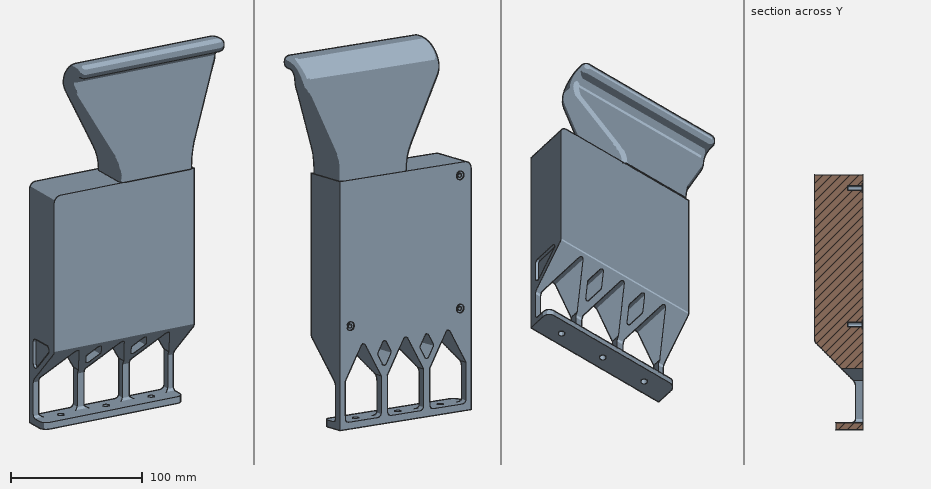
import cadquery as cq
import math


HOUSING_DEPTH = 37.0
HOUSING_WIDTH = 124.0
HOUSING_HEIGHT = 194.0
WALL = 5.8
FOOT_LENGTH = 21.0
FOOT_THICKNESS = 5.5
RAMP_BASE_HEIGHT = 35.8
FOOT_FILLET = 3.0
FOOT_CORNER_RADIUS = 5.8
RAMP_FOOT_FILLET = 7.0
RAMP_TOP_FILLET = 4.0
TOP_CORNER_RADIUS = 5.8

WINDOW_COUNT = 3
WINDOW_MARGIN = 5.0
WINDOW_WIDTH = 34.0
WINDOW_PITCH = (HOUSING_WIDTH - 2 * WINDOW_MARGIN - WINDOW_WIDTH) / (WINDOW_COUNT - 1)
WINDOW_SHOULDER_HEIGHT = 37.5
WINDOW_CORNER_RADIUS = 3.5
WINDOW_PEAK_RADIUS = 2.3
DIAMOND_HALF_WIDTH = 6.7
DIAMOND_HEIGHT = 55.0
DIAMOND_RADIUS = 2.0
ROOF_SLOPE = math.tan(math.radians(60))

SCREW_EDGE = 10.2
SCREW_LOW_HEIGHT = 80.0
SCREW_DIAMETER = 3.2
SCREW_HEAD_DIAMETER = 6.7
SCREW_HEAD_DEPTH = 1.0
SCREW_HOLE_DEPTH = 11.6
FOOT_HOLE_DIAMETER = 5.0
FOOT_HOLE_X = 10.0

POCKET_TOP = 70.0
POCKET_WALL = 4.7
POCKET_CORNER_RADIUS = 3.0
POCKET_DEPTH = 2.0
POCKET_TAPER_INSET = 1.0

HANDLE_CENTRE_Y = 91.0
HANDLE_TOP = 291.2
HANDLE_BASE_WIDTH = 64.5
HANDLE_TOP_WIDTH = 128.5
HANDLE_BASE_DEPTH = 38.0
FLARE_START = 204.7
FLARE_END = 268.8
FLARE_START_RADIUS = 43.7
FLARE_END_RADIUS = 26.2
NECK_DEPTH = 19.0
TAPER_START = 204.5
TAPER_END = 266.7
TAPER_START_RADIUS = 67.0
TAPER_END_RADIUS = 3.0
LIP_REACH = 32.3
LIP_THICKNESS = 10.8
HOOK_OUTER_RADIUS = 25.5
HOOK_INNER_RADIUS = HOOK_OUTER_RADIUS - NECK_DEPTH
HANDLE_FILLET = 5.0


def along_y(points, start, length):
    """Prism over (x, z) points, running from Y = start by length."""
    return cq.Workplane("XZ", origin=(0, start, 0)).polyline(points).close().extrude(-length)


def along_x(points, length):
    """Prism over (y, z) points, running from X = 0 by length."""
    return cq.Workplane("YZ").polyline(points).close().extrude(length)


def edge_at(body, direction, point):
    """The edge parallel to a direction that lies nearest to a point."""
    return body.edges(direction).edges(cq.NearestToPointSelector(point))


def round_edge(body, direction, point, radius):
    return body.newObject(edge_at(body, direction, point).vals()).fillet(radius)



def housing_block():
    ramp_top = RAMP_BASE_HEIGHT + HOUSING_DEPTH - WALL
    middle = HOUSING_WIDTH / 2
    body = along_y(
        [
            (0, 0),
            (FOOT_LENGTH, 0),
            (FOOT_LENGTH, FOOT_THICKNESS),
            (WALL, FOOT_THICKNESS),
            (WALL, RAMP_BASE_HEIGHT),
            (HOUSING_DEPTH, ramp_top),
            (HOUSING_DEPTH, HOUSING_HEIGHT),
            (0, HOUSING_HEIGHT),
        ],
        0,
        HOUSING_WIDTH,
    )
    body = round_edge(body, "|Y", (WALL, middle, FOOT_THICKNESS), FOOT_FILLET)
    body = round_edge(body, "|Y", (WALL, middle, RAMP_BASE_HEIGHT), RAMP_FOOT_FILLET)
    body = round_edge(body, "|Y", (HOUSING_DEPTH, middle, ramp_top), RAMP_TOP_FILLET)
    body = round_edge(body, "|X", (HOUSING_DEPTH / 2, 0, HOUSING_HEIGHT), TOP_CORNER_RADIUS)
    for y in (0, HOUSING_WIDTH):
        body = round_edge(body, "|Z", (FOOT_LENGTH, y, FOOT_THICKNESS / 2), FOOT_CORNER_RADIUS)
    return body


def window_cutter(centre):
    half = WINDOW_WIDTH / 2
    peak = WINDOW_SHOULDER_HEIGHT + half * ROOF_SLOPE
    cutter = along_x(
        [
            (centre - half, FOOT_THICKNESS),
            (centre + half, FOOT_THICKNESS),
            (centre + half, WINDOW_SHOULDER_HEIGHT),
            (centre, peak),
            (centre - half, WINDOW_SHOULDER_HEIGHT),
        ],
        HOUSING_DEPTH,
    )
    cutter = round_edge(cutter, "|X", (0, centre, peak), WINDOW_PEAK_RADIUS)
    return cutter.edges("|X and <Z").fillet(WINDOW_CORNER_RADIUS)


def diamond_cutter(centre):
    half_height = DIAMOND_HALF_WIDTH * ROOF_SLOPE
    cutter = along_x(
        [
            (centre - DIAMOND_HALF_WIDTH, DIAMOND_HEIGHT),
            (centre, DIAMOND_HEIGHT - half_height),
            (centre + DIAMOND_HALF_WIDTH, DIAMOND_HEIGHT),
            (centre, DIAMOND_HEIGHT + half_height),
        ],
        HOUSING_DEPTH,
    )
    return cutter.edges("|X").fillet(DIAMOND_RADIUS)


def screw_cutter(y, z):
    plane = cq.Workplane("YZ").center(y, z)
    shank = plane.circle(SCREW_DIAMETER / 2).extrude(SCREW_HOLE_DEPTH)
    return shank.union(plane.circle(SCREW_HEAD_DIAMETER / 2).extrude(SCREW_HEAD_DEPTH))


def pocket_outline(inset, y):
    """Rounded triangle with even walls to the back and the ramp, shrunk by inset, at a given Y."""
    left = WALL + inset
    top = POCKET_TOP - inset
    rise = RAMP_BASE_HEIGHT - WALL + (POCKET_WALL + inset) * math.sqrt(2)
    points = [(left, top), (left, left + rise), (top - rise, top)]
    prism = along_y(points, y, POCKET_DEPTH).edges("|Y").fillet(POCKET_CORNER_RADIUS - inset)
    return prism.faces("<Y").wires().val()


def pocket_cutter():
    mouth = pocket_outline(0, 0)
    floor = pocket_outline(POCKET_TAPER_INSET, POCKET_DEPTH)
    return cq.Workplane(cq.Solid.makeLoft([mouth, floor], True))


def make_housing():
    body = housing_block()
    first = WINDOW_MARGIN + WINDOW_WIDTH / 2
    for i in range(WINDOW_COUNT):
        centre = first + i * WINDOW_PITCH
        body = body.cut(window_cutter(centre))
        foot_hole = cq.Workplane("XY").center(FOOT_HOLE_X, centre).circle(FOOT_HOLE_DIAMETER / 2)
        body = body.cut(foot_hole.extrude(FOOT_THICKNESS))
    for i in range(WINDOW_COUNT - 1):
        body = body.cut(diamond_cutter(first + (i + 0.5) * WINDOW_PITCH))
    for y, z in [
        (SCREW_EDGE, HOUSING_HEIGHT - SCREW_EDGE),
        (SCREW_EDGE, SCREW_LOW_HEIGHT),
        (HOUSING_WIDTH - SCREW_EDGE, SCREW_LOW_HEIGHT),
    ]:
        body = body.cut(screw_cutter(y, z))
    return body.cut(pocket_cutter())



def handle_side_prism():
    """Hooked side outline of the handle, swept across its full width."""
    start = HANDLE_CENTRE_Y - HANDLE_TOP_WIDTH / 2
    lip_bottom = HANDLE_TOP - LIP_THICKNESS
    body = along_y(
        [
            (0, HOUSING_HEIGHT),
            (HANDLE_BASE_DEPTH, HOUSING_HEIGHT),
            (HANDLE_BASE_DEPTH, TAPER_START),
            (NECK_DEPTH, TAPER_END),
            (NECK_DEPTH, lip_bottom),
            (LIP_REACH, lip_bottom),
            (LIP_REACH, HANDLE_TOP),
            (0, HANDLE_TOP),
        ],
        start,
        HANDLE_TOP_WIDTH,
    )
    for x, z, radius in [
        (HANDLE_BASE_DEPTH, TAPER_START, TAPER_START_RADIUS),
        (NECK_DEPTH, TAPER_END, TAPER_END_RADIUS),
        (NECK_DEPTH, lip_bottom, HOOK_INNER_RADIUS),
        (0, HANDLE_TOP, HOOK_OUTER_RADIUS),
    ]:
        body = round_edge(body, "|Y", (x, HANDLE_CENTRE_Y, z), radius)
    return body


def handle_face_prism():
    """Flared broad outline of the handle, swept through its full depth."""
    base_half = HANDLE_BASE_WIDTH / 2
    top_half = HANDLE_TOP_WIDTH / 2
    right = [
        (base_half, HOUSING_HEIGHT),
        (base_half, FLARE_START),
        (top_half, FLARE_END),
        (top_half, HANDLE_TOP),
    ]
    left = [(-y, z) for y, z in reversed(right)]
    body = along_x([(HANDLE_CENTRE_Y + y, z) for y, z in right + left], HANDLE_BASE_DEPTH)
    for side in (-1, 1):
        for half, z, radius in [
            (base_half, FLARE_START, FLARE_START_RADIUS),
            (top_half, FLARE_END, FLARE_END_RADIUS),
        ]:
            point = (HANDLE_BASE_DEPTH / 2, HANDLE_CENTRE_Y + side * half, z)
            body = round_edge(body, "|X", point, radius)
    return body


def make_handle():
    body = handle_side_prism().intersect(handle_face_prism())
    rim = body.edges("not (|X or |Y)").vals()
    lip_end = [
        edge_at(body, "|Y", (LIP_REACH, HANDLE_CENTRE_Y, z)).val()
        for z in (HANDLE_TOP - LIP_THICKNESS, HANDLE_TOP)
    ]
    return body.newObject(rim + lip_end).fillet(HANDLE_FILLET)


housing = make_housing()
handle = make_handle()
result = cq.Compound.makeCompound([housing.val(), handle.val()])